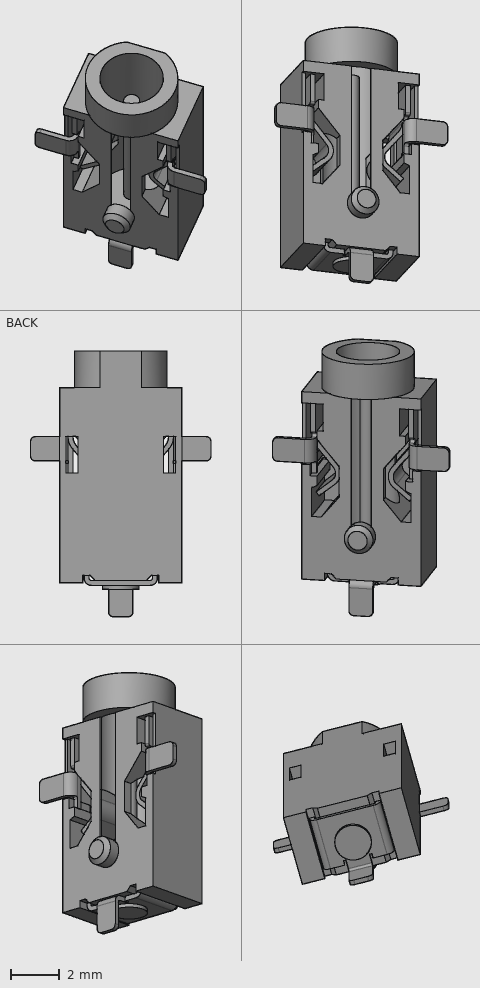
import cadquery as cq
import math


overall_width = 7.4
overall_height = 10.9

block_width = 5.0
block_height = 8.0
back_y = 1.7
front_y = -1.3
collar_radius = 1.9
collar_height = 1.5
bore_radius = 1.3
bore_floor_z = 1.8
slot_width = 0.84

peg_z = 2.0
peg_radius = 0.6
peg_tip_y = -2.0
peg_chamfer = 0.2

sheet = 0.21
leg_front_y = -1.4
leg_width = 1.0
leg_corner_radius = 0.21
leg_bottom_z = block_height + collar_height - overall_height
side_leg_tip_x = overall_width / 2

pocket_back_y = 1.2
pocket_top_z = 7.52
pocket_ledge_z = 6.37
notch_bottom_z = 4.9
pocket_seat_z = 4.44
notch_depth = 0.15
pocket_outer_x = 2.35
pocket_top_inner_x = 1.6
pocket_throat_x = 1.85
pocket_inner_x = 0.93
pocket_inner_bottom_z = 3.6
pocket_floor_inner_x = 1.68
pocket_floor_outer_x = 2.08
pocket_floor_z = 2.7
throat_chamfer_z = (3.92, 4.03)
rear_window_x = (1.75, 2.25)
rear_window_z = (4.5, 6.0)

plate_inner_x = 1.95
plate_outer_x = plate_inner_x + sheet
plate_front_y = -1.18
plate_back_y = 1.0
plate_top_z = 7.49
plate_bottom_z = 4.47
side_leg_top_z = 6.0
side_leg_bottom_z = side_leg_top_z - leg_width
side_bend_radius = 0.4
bend_start_y = leg_front_y + side_bend_radius
ear_fillet_radius = 0.1
ear_corner_radius = 0.1
relief_height = 0.21
relief_end_y = -0.87
ear_back_y = -0.8
spring_front_y = -0.7
spring_apex = (0.75, 4.35)
spring_tip_x = 1.9
spring_root_z = 6.21
spring_upper_angle = math.radians(50)
spring_lower_angle = math.radians(39)
spring_apex_radius = 0.6
spring_knee_radius = 0.6

recess_half_width = 1.55
recess_top_z = 0.3
seat_z = 0.1
seat_half_width = 1.06
seat_top_half_width = 1.25
tray_half_width = 1.5
tray_front_y = -0.9
tray_back_y = 1.3
tray_bend_radius = 0.3
tray_relief_width = 0.1
tray_relief_depth = 0.2
pin_radius = 0.33
head_radius = 0.75
head_thickness = 0.15


def box(x_range, y_range, z_range):
    """Box between two limits along each axis."""
    size = [limits[1] - limits[0] for limits in (x_range, y_range, z_range)]
    corner = (x_range[0], y_range[0], z_range[0])
    return cq.Workplane("XY").box(*size, centered=False).translate(corner)


def prism_along_y(points, y_start, y_end):
    """Closed XZ outline extruded between two Y positions."""
    outline = cq.Workplane("XZ", origin=(0, y_start, 0)).polyline(points).close()
    return outline.extrude(y_start - y_end)


def cylinder(radius, z_start, z_end):
    """Cylinder on the jack axis."""
    return cq.Workplane("XY", origin=(0, 0, z_start)).circle(radius).extrude(z_end - z_start)


def cylinder_along_x(radius, x_range, y, z):
    """Cylinder parallel to X, centred at the given Y and Z."""
    circle = cq.Workplane("YZ", origin=(x_range[0], y, z)).circle(radius)
    return circle.extrude(x_range[1] - x_range[0])


def mirrored(shape):
    """Copy of a right-hand shape on the left-hand side."""
    return shape.mirror("YZ")


def make_pocket():
    """Right-hand contact pocket, open to the front, the side and a rear window."""
    half_width = block_width / 2
    outline = [
        (pocket_outer_x, pocket_top_z),
        (pocket_top_inner_x, pocket_top_z),
        (pocket_top_inner_x, pocket_ledge_z),
        (pocket_throat_x, pocket_ledge_z),
        (pocket_throat_x, side_leg_top_z),
        (pocket_inner_x, notch_bottom_z),
        (pocket_inner_x, pocket_inner_bottom_z),
        (pocket_floor_inner_x, pocket_floor_z),
        (pocket_floor_outer_x, pocket_floor_z),
        (pocket_floor_outer_x, throat_chamfer_z[0]),
        (pocket_throat_x, throat_chamfer_z[1]),
        (pocket_throat_x, pocket_seat_z),
        (plate_outer_x, pocket_seat_z),
        (plate_outer_x, notch_bottom_z),
        (pocket_outer_x, notch_bottom_z),
    ]
    pocket = prism_along_y(outline, front_y, pocket_back_y)
    side_notch = box(
        (pocket_outer_x, half_width),
        (front_y, front_y + notch_depth),
        (notch_bottom_z, pocket_top_z),
    )
    rear_window = box(rear_window_x, (0, back_y), rear_window_z)
    return pocket.union(side_notch).union(rear_window)


def make_bottom_recess():
    """Recess under the block around a chamfered central seat."""
    outline = [
        (-recess_half_width, 0),
        (-recess_half_width, recess_top_z),
        (-seat_top_half_width, recess_top_z),
        (-seat_half_width, seat_z),
        (seat_half_width, seat_z),
        (seat_top_half_width, recess_top_z),
        (recess_half_width, recess_top_z),
        (recess_half_width, 0),
    ]
    return prism_along_y(outline, front_y, back_y)


def make_peg():
    """Chamfered round peg standing on the front face."""
    peg = cq.Workplane("XZ", origin=(0, front_y, peg_z)).circle(peg_radius).extrude(front_y - peg_tip_y)
    return peg.faces("<Y").chamfer(peg_chamfer)


def make_housing():
    """Block and collar with the bore, front slot, contact pockets and peg."""
    top_z = block_height + collar_height
    half_width = block_width / 2
    block = box((-half_width, half_width), (front_y, back_y), (0, block_height))
    collar = cylinder(collar_radius, block_height, top_z)
    behind_block = box(
        (-collar_radius, collar_radius), (back_y, collar_radius), (block_height, top_z)
    )
    housing = block.union(collar.cut(behind_block))

    bore = cylinder(bore_radius, bore_floor_z, top_z)
    front_slot = box((-slot_width / 2, slot_width / 2), (front_y, 0), (bore_floor_z, block_height))
    pin_hole = cylinder(pin_radius, 0, bore_floor_z)
    pocket = make_pocket()
    for cutter in (bore, front_slot, pin_hole, pocket, mirrored(pocket), make_bottom_recess()):
        housing = housing.cut(cutter)
    return housing.union(make_peg())


def make_contact_plate():
    """Upright plate: wide above the leg, with a narrow ear that runs down behind it."""
    plate_x = (plate_inner_x, plate_outer_x)
    upper_plate = box(plate_x, (plate_front_y, plate_back_y), (side_leg_top_z, plate_top_z))
    lower_ear = box(plate_x, (bend_start_y, ear_back_y), (plate_bottom_z, side_leg_top_z))

    relief_radius = relief_height / 2
    relief_z = (side_leg_top_z, side_leg_top_z + relief_height)
    relief_centre_y = relief_end_y - relief_radius
    relief = box(plate_x, (plate_front_y, relief_centre_y), relief_z).union(
        cylinder_along_x(relief_radius, plate_x, relief_centre_y, side_leg_top_z + relief_radius)
    )
    upper_plate = upper_plate.cut(relief)
    ear_corner = cq.selectors.NearestToPointSelector((plate_inner_x, plate_front_y, relief_z[1]))
    corner_edge = upper_plate.edges("|X").edges(ear_corner)
    return corner_edge.fillet(ear_corner_radius).union(lower_ear)


def make_ear_fillet(leg):
    """Concave fillet between the underside of the leg and the front of the lower ear."""
    plate_x = (plate_inner_x, plate_outer_x)
    centre_y = bend_start_y - ear_fillet_radius
    centre_z = side_leg_bottom_z - ear_fillet_radius
    corner = box(plate_x, (centre_y, bend_start_y), (centre_z, side_leg_bottom_z))
    fillet = corner.cut(cylinder_along_x(ear_fillet_radius, plate_x, centre_y, centre_z))
    return fillet.intersect(leg.translate((0, 0, -ear_fillet_radius)))


def make_side_leg():
    """Solder leg bent outward from the plate."""
    leg = (
        cq.Workplane("XY", origin=(0, 0, side_leg_bottom_z))
        .moveTo(plate_inner_x, ear_back_y)
        .lineTo(plate_inner_x, bend_start_y)
        .radiusArc((plate_inner_x + side_bend_radius, leg_front_y), -side_bend_radius)
        .lineTo(side_leg_tip_x, leg_front_y)
        .lineTo(side_leg_tip_x, leg_front_y + sheet)
        .lineTo(plate_inner_x + side_bend_radius, leg_front_y + sheet)
        .radiusArc((plate_outer_x, bend_start_y), side_bend_radius - sheet)
        .lineTo(plate_outer_x, ear_back_y)
        .close()
        .extrude(leg_width)
    )
    return leg.edges("|Y and >X").fillet(leg_corner_radius)


def make_spring():
    """V-shaped strip that hangs from the plate and bulges into the bore."""
    apex_x, apex_z = spring_apex
    rise = math.tan(spring_upper_angle)
    drop = math.tan(spring_lower_angle)
    tip = (spring_tip_x, apex_z - (spring_tip_x - apex_x) * drop)
    upper_offset = sheet / math.cos(spring_upper_angle)
    lower_offset = sheet / math.cos(spring_lower_angle)
    inner_shift = (upper_offset + lower_offset) / (rise + drop)

    knee = (plate_inner_x, apex_z + (plate_inner_x - apex_x) * rise)
    back_knee = (plate_outer_x, apex_z + (plate_outer_x - apex_x) * rise - upper_offset)
    inner_apex = (apex_x + inner_shift, apex_z + inner_shift * rise - upper_offset)
    back_tip = (
        tip[0] + sheet * math.sin(spring_lower_angle),
        tip[1] + sheet * math.cos(spring_lower_angle),
    )
    outline = [
        (plate_inner_x, spring_root_z),
        knee,
        spring_apex,
        tip,
        back_tip,
        inner_apex,
        back_knee,
        (plate_outer_x, spring_root_z),
    ]
    spring = prism_along_y(outline, spring_front_y, plate_back_y)
    bends = [
        (knee, spring_knee_radius),
        (back_knee, spring_knee_radius + sheet),
        (spring_apex, spring_apex_radius),
        (inner_apex, spring_apex_radius - sheet),
    ]
    middle_y = (spring_front_y + plate_back_y) / 2
    for (x, z), radius in bends:
        corner = cq.selectors.NearestToPointSelector((x, middle_y, z))
        spring = spring.edges(corner).fillet(radius)
    return spring


def make_side_contact():
    """Right-hand contact: plate, solder leg and spring in one piece."""
    leg = make_side_leg()
    return make_contact_plate().union(leg).union(make_ear_fillet(leg)).union(make_spring())


def make_tray():
    """U-shaped plate under the block, its sides folded up into the recess."""
    y_range = (tray_front_y, tray_back_y)
    plate_z = seat_z - sheet
    outer = box((-tray_half_width, tray_half_width), y_range, (plate_z, recess_top_z))
    outer = outer.edges("|Y and <Z").fillet(tray_bend_radius)
    inner_half_width = tray_half_width - sheet
    inner = box((-inner_half_width, inner_half_width), y_range, (seat_z, recess_top_z + sheet))
    inner = inner.edges("|Y and <Z").fillet(tray_bend_radius - sheet)
    tray = outer.cut(inner)
    relief = box(
        (leg_width / 2, leg_width / 2 + tray_relief_width),
        (tray_front_y, tray_front_y + tray_relief_depth),
        (plate_z, seat_z),
    )
    return tray.cut(relief).cut(mirrored(relief))


def make_centre_leg():
    """Solder leg bent down from the front of the tray."""
    bend_y = leg_front_y + tray_bend_radius
    bend_z = seat_z - tray_bend_radius
    leg = (
        cq.Workplane("YZ", origin=(-leg_width / 2, 0, 0))
        .moveTo(0, seat_z)
        .lineTo(bend_y, seat_z)
        .radiusArc((leg_front_y, bend_z), -tray_bend_radius)
        .lineTo(leg_front_y, leg_bottom_z)
        .lineTo(leg_front_y + sheet, leg_bottom_z)
        .lineTo(leg_front_y + sheet, bend_z)
        .radiusArc((bend_y, seat_z - sheet), tray_bend_radius - sheet)
        .lineTo(0, seat_z - sheet)
        .close()
        .extrude(leg_width)
    )
    return leg.edges("|Y and <Z").fillet(leg_corner_radius)


def make_centre_terminal():
    """Tray with its solder leg and the centre pin, whose head lies under the tray."""
    plate_z = seat_z - sheet
    pin = cylinder(pin_radius, plate_z, block_height)
    head = cylinder(head_radius, plate_z - head_thickness, plate_z)
    return make_tray().union(make_centre_leg()).union(pin).union(head)


housing = make_housing()
side_contact = make_side_contact()
side_contacts = [side_contact, mirrored(side_contact)]
centre_terminal = make_centre_terminal()

result = cq.Compound.makeCompound(
    [housing.val(), *[contact.val() for contact in side_contacts], centre_terminal.val()]
)